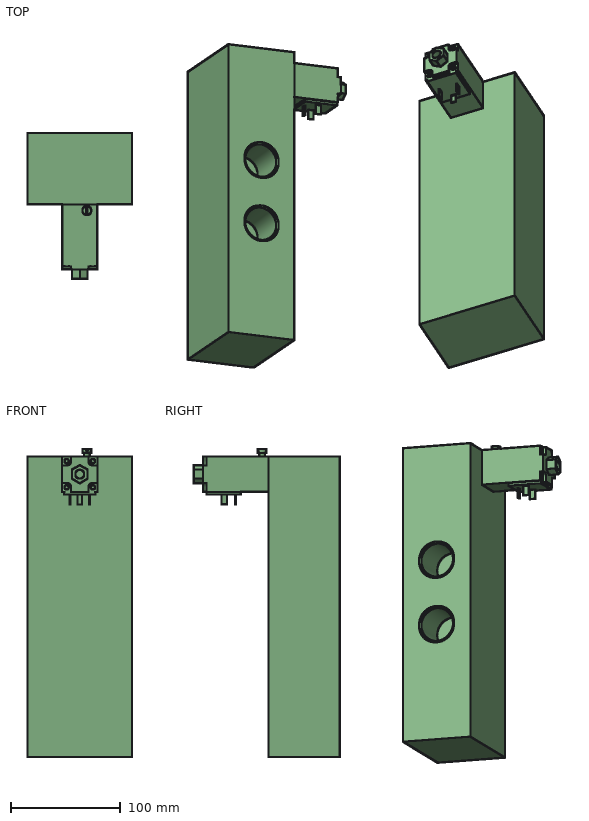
import cadquery as cq


OVERALL_HEIGHT = 280.5

BLOCK_WIDTH = 95.0
BLOCK_DEPTH = 65.0
CAP_HEIGHT = 45.2

PORT_DIAMETER = 30.5
PORT_DEPTH = 45.0
PORT_CHAMFER = 1.7
PORT_SPACING = 60.0
UPPER_PORT_Z = 167.2

PILOT_SIZE = 32.3
PILOT_BASE_LENGTH = 11.2
PILOT_COIL_LENGTH = 48.0
PILOT_LENGTH = PILOT_BASE_LENGTH + PILOT_COIL_LENGTH

CORNER_HOLE_INSET = 4.2
CORNER_HOLE_DIAMETER = 4.0
CORNER_HOLE_DEPTH = 2.8
RECESS_RADIUS = 4.0
RECESS_DEPTH = 2.8

NUT_ACROSS_FLATS = 14.3
NUT_LENGTH = 8.7
NUT_BORE_DIAMETER = 8.0

SCREW_X = 6.5
SCREW_HEAD_DIAMETER = 8.0
SCREW_HEAD_HEIGHT = 3.6
SCREW_NECK_DIAMETER = 5.5
SCREW_NECK_HEIGHT = 3.5
SCREW_SLOT_WIDTH = 1.5
SCREW_SLOT_DEPTH = 1.7

PLATE_WIDTH = 28.5
PLATE_LENGTH = 31.5
PLATE_THICKNESS = 2.5
BLADE_LENGTH = 8.7
BLADE_THICKNESS = 0.8
GROUND_BLADE_WIDTH = 4.5
GROUND_BLADE_INSET = 4.8
POWER_BLADE_WIDTH = 5.3
POWER_BLADE_INSET = 15.1
POWER_BLADE_SPACING = 17.5

BLOCK_HEIGHT = OVERALL_HEIGHT - SCREW_HEAD_HEIGHT - SCREW_NECK_HEIGHT
PILOT_BOTTOM_Z = BLOCK_HEIGHT - PILOT_SIZE
PILOT_MIDDLE_Z = BLOCK_HEIGHT - PILOT_SIZE / 2
PILOT_END_Y = -PILOT_LENGTH
PLATE_MIDDLE_Y = PILOT_END_Y + RECESS_DEPTH + PLATE_LENGTH / 2
PLATE_INNER_Y = PLATE_MIDDLE_Y + PLATE_LENGTH / 2
PLATE_BOTTOM_Z = PILOT_BOTTOM_Z - PLATE_THICKNESS


def box(width, depth, height, x, y, z):
    """Box centred on x and y, standing on z."""
    return cq.Workplane("XY").box(width, depth, height, centered=(True, True, False)).translate((x, y, z))


def front_plane(y):
    """Plane facing -Y at y, centred on the axis of the pilot; its local axes run along X and Z."""
    return cq.Workplane("XZ", origin=(0, y, PILOT_MIDDLE_Z))


def port(z):
    """Cutter for one blind port with a chamfered mouth."""
    radius = PORT_DIAMETER / 2
    mouth_radius = radius + PORT_CHAMFER
    half_section = [
        (0, 0),
        (0, mouth_radius),
        (PORT_CHAMFER, radius),
        (PORT_DEPTH, radius),
        (PORT_DEPTH, 0),
    ]
    cutter = cq.Workplane("XY").polyline(half_section).close().revolve(360, (0, 0), (1, 0))
    return cutter.translate((-BLOCK_WIDTH / 2, BLOCK_DEPTH / 2, z))


def make_valve_block():
    """Body between two flush end caps, with the ports; clean=False keeps the cap joints as edges."""
    middle_y = BLOCK_DEPTH / 2
    body_height = BLOCK_HEIGHT - 2 * CAP_HEIGHT
    block = box(BLOCK_WIDTH, BLOCK_DEPTH, body_height, 0, middle_y, CAP_HEIGHT)
    for cap_z in (0, BLOCK_HEIGHT - CAP_HEIGHT):
        cap = box(BLOCK_WIDTH, BLOCK_DEPTH, CAP_HEIGHT, 0, middle_y, cap_z)
        block = block.union(cap, clean=False)
    for port_z in (UPPER_PORT_Z, UPPER_PORT_Z - PORT_SPACING):
        block = block.cut(port(port_z), clean=False)
    return block


def corner_recess(side_x, side_z):
    """Cutter for the recess and screw hole of the corner on the given sides (-1 or 1)."""
    floor = front_plane(PILOT_END_Y + RECESS_DEPTH)
    hole_offset = PILOT_SIZE / 2 - CORNER_HOLE_INSET
    hole_x = side_x * hole_offset
    hole_z = side_z * hole_offset
    square_size = 2 * RECESS_RADIUS + CORNER_HOLE_INSET
    square_shift = CORNER_HOLE_INSET / 2
    recess = (
        floor.center(hole_x + side_x * square_shift, hole_z + side_z * square_shift)
        .rect(square_size, square_size)
        .extrude(RECESS_DEPTH)
        .edges("|Y")
        .fillet(RECESS_RADIUS)
    )
    hole = floor.center(hole_x, hole_z).circle(CORNER_HOLE_DIAMETER / 2).extrude(-CORNER_HOLE_DEPTH)
    return recess.union(hole)


def make_nut():
    """Hexagonal nut with two flats facing sideways, bored through its length."""
    blank = front_plane(PILOT_END_Y).polygon(6, NUT_ACROSS_FLATS, circumscribed=True).extrude(NUT_LENGTH)
    bore = front_plane(PILOT_END_Y).circle(NUT_BORE_DIAMETER / 2).extrude(NUT_LENGTH)
    return blank.cut(bore)


def make_override_screw():
    """Slotted screw standing on the middle of the pilot base, its slot along Y."""
    neck = cq.Workplane("XY").circle(SCREW_NECK_DIAMETER / 2).extrude(SCREW_NECK_HEIGHT)
    head = (
        cq.Workplane("XY", origin=(0, 0, SCREW_NECK_HEIGHT))
        .circle(SCREW_HEAD_DIAMETER / 2)
        .extrude(SCREW_HEAD_HEIGHT)
    )
    slot_z = SCREW_NECK_HEIGHT + SCREW_HEAD_HEIGHT - SCREW_SLOT_DEPTH
    slot = box(SCREW_SLOT_WIDTH, SCREW_HEAD_DIAMETER, SCREW_SLOT_DEPTH, 0, 0, slot_z)
    return neck.union(head).cut(slot).translate((SCREW_X, -PILOT_BASE_LENGTH / 2, BLOCK_HEIGHT))


def make_connector():
    """Contact plate with a ground blade across X and two power blades along Y."""
    connector = box(PLATE_WIDTH, PLATE_LENGTH, PLATE_THICKNESS, 0, PLATE_MIDDLE_Y, PLATE_BOTTOM_Z)
    blade_z = PLATE_BOTTOM_Z - BLADE_LENGTH
    ground_y = PLATE_INNER_Y - GROUND_BLADE_INSET
    connector = connector.union(box(GROUND_BLADE_WIDTH, BLADE_THICKNESS, BLADE_LENGTH, 0, ground_y, blade_z))
    power_y = PLATE_INNER_Y - POWER_BLADE_INSET
    for side in (-1, 1):
        blade_x = side * POWER_BLADE_SPACING / 2
        blade = box(BLADE_THICKNESS, POWER_BLADE_WIDTH, BLADE_LENGTH, blade_x, power_y, blade_z)
        connector = connector.union(blade)
    return connector


def make_coil():
    """Coil housing with its four corner recesses, the nut and the connector."""
    coil = front_plane(-PILOT_BASE_LENGTH).rect(PILOT_SIZE, PILOT_SIZE).extrude(PILOT_COIL_LENGTH)
    for side_x in (-1, 1):
        for side_z in (-1, 1):
            coil = coil.cut(corner_recess(side_x, side_z))
    return coil.union(make_connector()).union(make_nut()).clean()


def make_pilot():
    """Base, coil and override screw in one solid; clean=False keeps the base joint as edges."""
    base = front_plane(0).rect(PILOT_SIZE, PILOT_SIZE).extrude(PILOT_BASE_LENGTH)
    return base.union(make_override_screw()).union(make_coil(), clean=False)


valve_block = make_valve_block()
pilot = make_pilot()

result = cq.Compound.makeCompound([valve_block.solids().val(), pilot.solids().val()])